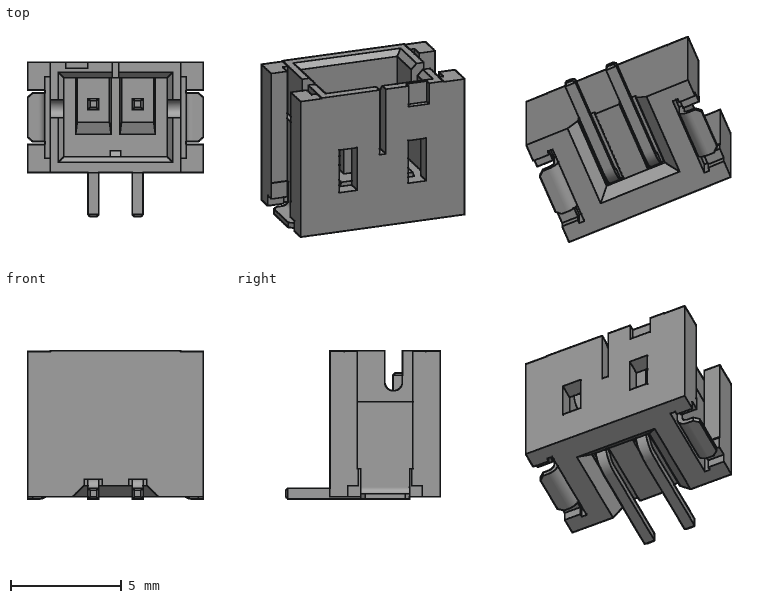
import cadquery as cq


length = 7.95
depth = 5.0
base_z = 0.1
top_z = 6.72
post_top_z = 6.685
shroud_length = 5.9
post_depth = 1.25
foot_z = 1.375
foot_step = 0.04

cavity_length = 4.675
wall = 0.715
mouth_chamfer = 0.26
floor_z = 2.0

side_notch_width = 0.795
side_notch_y = 2.885
side_notch_bottom_z = 4.905
back_slit_width = 0.3
back_slit_bottom_z = 3.58
key_x = -1.75
key_width = 0.99
key_depth = 0.29
key_height = 1.0
window_x = 1.67
window_width = 0.88
window_top_z = 4.07

pitch = 2.0
pin = 0.5
pin_tip_z = 5.71
pin_front_y = 2.85
tail_end_y = -2.0
bend_radius = 0.4
tip_chamfer = 0.1

pad_width = 1.6
pad_front_y = 1.73
pad_height = 0.2
pad_front_run = 0.54
pad_side_run = 0.07
ramp_width = 0.49
ramp_size = 0.28

relief_base_width = 3.88
relief_height = 0.51
tunnel_width = 0.81
tunnel_top_z = 0.91

tab_thickness = 0.25
tab_width = 2.21
tab_plate_width = 3.69
tab_top_z = 4.4
tab_bend_radius = 0.29
tab_corner_x = 0.23
tab_corner_y = 0.2
foot_notch_width = 3.37

mid_y = depth / 2
half_shroud = shroud_length / 2
pin_back_y = pin_front_y + pin
pin_places = (-pitch / 2, pitch / 2)
relief_top_z = base_z + relief_height


def box(x0, x1, y0, y1, z0, z1):
    """Box between opposite corner coordinates."""
    return cq.Workplane("XY").box(x1 - x0, y1 - y0, z1 - z0, centered=False).translate((x0, y0, z0))


def centred_box(x, width, y0, y1, z0, z1):
    """Box centred on x."""
    return box(x - width / 2, x + width / 2, y0, y1, z0, z1)


def both_sides(right_half):
    """A solid together with its mirror image in X."""
    return right_half.union(right_half.mirror("YZ"))


def yz_prism(profile, x, width):
    """Extrude a closed YZ profile symmetrically about x."""
    return profile.extrude(width / 2, both=True).translate((x, 0, 0))


def housing_blank():
    """Shroud block with a two-step channel between the corner posts on each side."""
    body = centred_box(0, length, 0, depth, base_z, post_top_z)
    body = body.union(centred_box(0, shroud_length, 0, depth, base_z, top_z))
    foot_edge = post_depth + foot_step
    channel = box(half_shroud, length / 2, post_depth, depth - post_depth, foot_z, top_z)
    channel = channel.union(box(half_shroud, length / 2, foot_edge, depth - foot_edge, base_z, foot_z))
    slot = box(half_shroud, half_shroud + tab_thickness,
               mid_y - tab_plate_width / 2, mid_y + tab_plate_width / 2, base_z, top_z)
    foot_notch = box(half_shroud, length / 2,
                     mid_y - foot_notch_width / 2, mid_y + foot_notch_width / 2, base_z, relief_top_z)
    return body.cut(both_sides(channel.union(slot).union(foot_notch)))


def cavity():
    """Plug cavity with a 45 degree lead-in around its mouth."""
    inner_depth = depth - 2 * wall
    well = centred_box(0, cavity_length, wall, depth - wall, floor_z, top_z)
    lead_in = (
        cq.Workplane("XY", origin=(0, mid_y, top_z - mouth_chamfer))
        .rect(cavity_length, inner_depth)
        .workplane(offset=mouth_chamfer)
        .rect(cavity_length + 2 * mouth_chamfer, inner_depth + 2 * mouth_chamfer)
        .loft(ruled=True)
    )
    return well.union(lead_in)


def wall_openings():
    """Round-bottomed side notches, back slit, keying notch and back windows."""
    radius = side_notch_width / 2
    centre_z = side_notch_bottom_z + radius
    side_notch = (
        cq.Workplane("YZ")
        .moveTo(side_notch_y - radius, top_z)
        .lineTo(side_notch_y - radius, centre_z)
        .threePointArc((side_notch_y, side_notch_bottom_z), (side_notch_y + radius, centre_z))
        .lineTo(side_notch_y + radius, top_z)
        .close()
    )
    cutter = yz_prism(side_notch, 0, shroud_length)
    cutter = cutter.union(centred_box(0, back_slit_width, depth - wall, depth, back_slit_bottom_z, top_z))
    cutter = cutter.union(centred_box(key_x, key_width, depth - key_depth, depth, top_z - key_height, top_z))
    window = centred_box(window_x, window_width, depth - wall, depth, floor_z, window_top_z)
    return cutter.union(both_sides(window))


def tail_relief():
    """Trapezoidal underside pocket with a sloping rear end, and a tunnel above each tail."""
    half = relief_base_width / 2
    end_y = pin_back_y + relief_height
    trapezoid = (
        cq.Workplane("XZ")
        .polyline([(-half, base_z), (half, base_z),
                   (half - relief_height, relief_top_z), (-half + relief_height, relief_top_z)])
        .close()
        .extrude(-end_y)
    )
    rear_slope = (
        cq.Workplane("YZ")
        .polyline([(0, base_z), (end_y, base_z), (pin_back_y, relief_top_z), (0, relief_top_z)])
        .close()
    )
    relief = trapezoid.intersect(yz_prism(rear_slope, 0, relief_base_width))
    for x in pin_places:
        relief = relief.union(centred_box(x, tunnel_width, 0, pin_back_y, base_z, tunnel_top_z))
    return relief


def pad(x):
    """Raised pad around a pin with drafted sides and a gentle front slope."""
    back_y = depth - wall
    pad_top_z = floor_z + pad_height
    half = pad_width / 2
    across = (
        cq.Workplane("XZ")
        .polyline([(-half, floor_z), (half, floor_z),
                   (half - pad_side_run, pad_top_z), (-half + pad_side_run, pad_top_z)])
        .close()
        .extrude(-back_y)
        .translate((x, 0, 0))
    )
    along = (
        cq.Workplane("YZ")
        .polyline([(pad_front_y, floor_z), (back_y, floor_z),
                   (back_y, pad_top_z), (pad_front_y + pad_front_run, pad_top_z)])
        .close()
    )
    return across.intersect(yz_prism(along, x, pad_width))


def wall_ramp():
    """45 degree ramp between the floor and the front wall."""
    profile = (
        cq.Workplane("YZ")
        .polyline([(wall, floor_z), (wall + ramp_size, floor_z), (wall, floor_z + ramp_size)])
        .close()
    )
    return yz_prism(profile, 0, ramp_width)


def contact(x):
    """Square pin bent into a forward tail, with both ends chamfered."""
    outer_radius = bend_radius + pin
    profile = (
        cq.Workplane("YZ")
        .moveTo(tail_end_y, 0)
        .lineTo(pin_back_y - outer_radius, 0)
        .radiusArc((pin_back_y, outer_radius), -outer_radius)
        .lineTo(pin_back_y, pin_tip_z)
        .lineTo(pin_front_y, pin_tip_z)
        .lineTo(pin_front_y, pin + bend_radius)
        .radiusArc((pin_front_y - bend_radius, pin), bend_radius)
        .lineTo(tail_end_y, pin)
        .close()
    )
    bent_pin = yz_prism(profile, x, pin)
    return bent_pin.faces(">Z or <Y").chamfer(tip_chamfer)


def hold_down_tab():
    """Tab on the +X side: wide plate in the slot, narrow leg and outward solder foot."""
    inner_x = half_shroud
    outer_x = half_shroud + tab_thickness
    outer_radius = tab_bend_radius + tab_thickness
    bend_x = inner_x + outer_radius
    end_x = length / 2
    half = tab_width / 2
    plate = box(inner_x, outer_x, mid_y - tab_plate_width / 2, mid_y + tab_plate_width / 2,
                foot_z, tab_top_z)
    leg = (
        cq.Workplane("XZ")
        .moveTo(inner_x, foot_z)
        .lineTo(inner_x, outer_radius)
        .radiusArc((bend_x, 0), -outer_radius)
        .lineTo(end_x, 0)
        .lineTo(end_x, tab_thickness)
        .lineTo(bend_x, tab_thickness)
        .radiusArc((outer_x, outer_radius), tab_bend_radius)
        .lineTo(outer_x, foot_z)
        .close()
        .extrude(half, both=True)
        .translate((0, mid_y, 0))
    )
    clipped_outline = (
        cq.Workplane("XY")
        .polyline([(inner_x, mid_y - half), (end_x - tab_corner_x, mid_y - half),
                   (end_x, mid_y - half + tab_corner_y), (end_x, mid_y + half - tab_corner_y),
                   (end_x - tab_corner_x, mid_y + half), (inner_x, mid_y + half)])
        .close()
        .extrude(foot_z)
    )
    return plate.union(leg.intersect(clipped_outline))


result = housing_blank().cut(cavity()).cut(wall_openings()).cut(tail_relief())
result = result.union(wall_ramp())
for pin_x in pin_places:
    result = result.union(pad(pin_x)).union(contact(pin_x))
result = result.union(both_sides(hold_down_tab()))